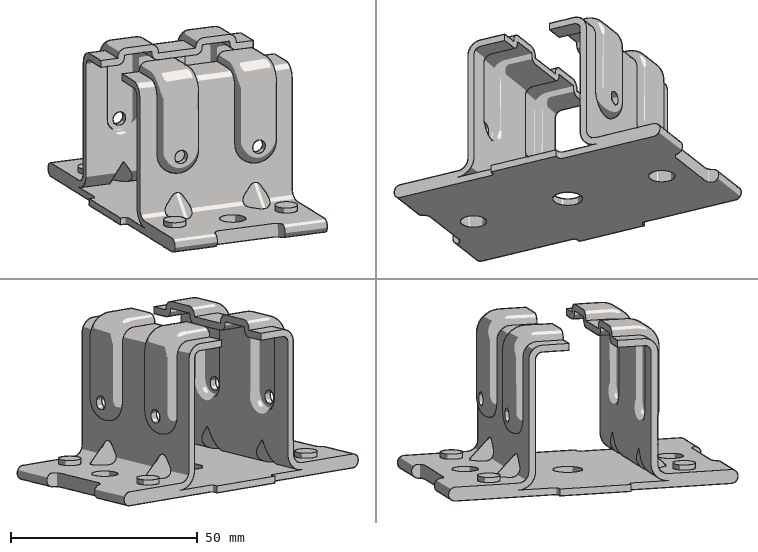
import cadquery as cq
import math

length = 81.5
height = 43.8
plate_width = 45.0
tab_span = 49.0

hem_height = 3.8
sheet = hem_height / 2
lip_end_x = 6.85
rib_height = 2.6
rib_outer_x = 20.8
wall_outer_x = rib_outer_x - rib_height
wall_inner_x = wall_outer_x - sheet
lip_top_z = height - rib_height
lip_bottom_z = lip_top_z - sheet
top_bend_radius = 1.95
foot_bend_radius = 2.9
top_bend_x = wall_inner_x - top_bend_radius
top_bend_z = lip_bottom_z - top_bend_radius
foot_bend_x = wall_outer_x + foot_bend_radius
foot_bend_z = hem_height + foot_bend_radius

tab_length = 20.05
tab_corner_radius = 1.1
notch_width = 20.0
notch_depth = 3.1
notch_corner_radius = 2.0
center_hole_diameter = 8.0
side_hole_diameter = 7.0
side_hole_x = 28.85
pin_diameter = 6.0
pin_height = 1.4
pin_x = 27.5
pin_y = 16.5

rib_y = 11.5
rib_width = 12.0
rib_end_z = 21.2
rib_fillet = 2.4
hollow_clearance = 0.8
rib_hole_diameter = 3.7
rib_hole_z = 20.3

gusset_foot_x = 24.0
gusset_ridge_radius = 2.3
ridge_bar_depth = 8.15
gusset_overlap = 0.3

pick_margin = 0.1


def base_plate():
    """Flat base sheet with a tab on each long side, up to where the folds begin."""
    body = cq.Workplane("XY").box(2 * foot_bend_x, plate_width, sheet, centered=(True, True, False))
    tabs = cq.Workplane("XY").box(tab_length, tab_span, sheet, centered=(True, True, False))
    inner_corners = cq.selectors.BoxSelector(
        (-tab_length / 2 - pick_margin, -plate_width / 2 - pick_margin, 0),
        (tab_length / 2 + pick_margin, plate_width / 2 + pick_margin, sheet),
    )
    return body.union(tabs).edges("|Z").edges(inner_corners).fillet(tab_corner_radius)


def folded_sheet():
    """Foot, wall and lip on the +X side, with the foot folded back over the base."""
    end_center_x = length / 2 - sheet
    profile = (
        cq.Workplane("XZ")
        .moveTo(foot_bend_x, 0)
        .lineTo(end_center_x, 0)
        .threePointArc((length / 2, sheet), (end_center_x, hem_height))
        .lineTo(foot_bend_x, hem_height)
        .radiusArc((wall_outer_x, foot_bend_z), foot_bend_radius)
        .lineTo(wall_outer_x, top_bend_z)
        .radiusArc((top_bend_x, lip_top_z), -(top_bend_radius + sheet))
        .lineTo(lip_end_x, lip_top_z)
        .lineTo(lip_end_x, lip_bottom_z)
        .lineTo(top_bend_x, lip_bottom_z)
        .radiusArc((wall_inner_x, top_bend_z), top_bend_radius)
        .lineTo(wall_inner_x, foot_bend_z)
        .radiusArc((foot_bend_x, sheet), -(foot_bend_radius + sheet))
        .close()
    )
    return profile.extrude(plate_width / 2, both=True)


def rib_bar(y, inner_offset, outer_offset, width, fillet):
    """Round-ended bar along wall and lip; offsets are measured from the inside of the sheet."""
    inner_r = top_bend_radius + inner_offset
    outer_r = top_bend_radius + outer_offset
    bar = (
        cq.Workplane("XZ", origin=(0, y, 0))
        .moveTo(top_bend_x + outer_r, 0)
        .lineTo(top_bend_x + outer_r, top_bend_z)
        .radiusArc((top_bend_x, top_bend_z + outer_r), -outer_r)
        .lineTo(lip_end_x, top_bend_z + outer_r)
        .lineTo(lip_end_x, top_bend_z + inner_r)
        .lineTo(top_bend_x, top_bend_z + inner_r)
        .radiusArc((top_bend_x + inner_r, top_bend_z), inner_r)
        .lineTo(top_bend_x + inner_r, 0)
        .close()
        .extrude(width / 2, both=True)
    )
    slot_top_z = height + width
    slot = (
        cq.Workplane("YZ", origin=(0, y, (rib_end_z + slot_top_z) / 2))
        .slot2D(slot_top_z - rib_end_z + width, width, 90)
        .extrude(length / 2)
    )
    return bar.intersect(slot).faces(">X").edges("|Z").edges(">Y").fillet(fillet)


def add_rib(body, y):
    """Press one rib, with its hollow inside and its hole, into the wall and lip on the +X side."""
    rib = rib_bar(y, sheet / 2, sheet + rib_height, rib_width, rib_fillet)
    hollow_width = rib_width - 2 * sheet
    hollow = rib_bar(y, -hollow_clearance, rib_height, hollow_width, rib_fillet - sheet)
    body = body.union(rib).cut(hollow)

    rim_side = cq.selectors.BoxSelector(
        (wall_inner_x - pick_margin, y, rib_end_z),
        (wall_inner_x + pick_margin, y + hollow_width, top_bend_z),
    )
    body = body.edges(rim_side).fillet(sheet)

    hole = (
        cq.Workplane("YZ", origin=(0, y, rib_hole_z))
        .circle(rib_hole_diameter / 2)
        .extrude(length / 2)
    )
    return body.cut(hole)


def ridge_bar(y, ridge_depth, ridge_radius):
    """Bar along a 45 degree line with square flanks meeting at a round ridge.

    The ridge lies ridge_depth below the outer ridge line of the gusset.
    """
    flank_depth = ridge_radius * (1 - math.sqrt(0.5))
    flank_half_width = ridge_radius * math.sqrt(0.5)
    bar_half_width = flank_half_width + ridge_bar_depth - flank_depth
    section_plane = cq.Plane(
        origin=(gusset_foot_x, y, hem_height),
        xDir=(0, 1, 0),
        normal=(-1, 0, 1),
    )
    return (
        cq.Workplane(section_plane)
        .moveTo(-bar_half_width, ridge_depth + ridge_bar_depth)
        .lineTo(-flank_half_width, ridge_depth + flank_depth)
        .threePointArc((0, ridge_depth), (flank_half_width, ridge_depth + flank_depth))
        .lineTo(bar_half_width, ridge_depth + ridge_bar_depth)
        .close()
        .extrude(2 * ridge_bar_depth, both=True)
    )


def add_gusset(body, y):
    """Press one gusset, hollow on the inside, into the foot bend on the +X side."""
    corner_x = wall_outer_x - gusset_overlap
    corner_z = hem_height - gusset_overlap
    leg = gusset_foot_x - wall_outer_x + 2 * gusset_overlap
    wedge = (
        cq.Workplane("XZ", origin=(0, y, 0))
        .moveTo(corner_x, corner_z)
        .lineTo(corner_x + leg, corner_z)
        .lineTo(corner_x, corner_z + leg)
        .close()
        .extrude(plate_width / 4, both=True)
    )
    gusset = ridge_bar(y, 0, gusset_ridge_radius).intersect(wedge)
    above_base = (
        cq.Workplane("XY", origin=(0, y, sheet))
        .rect(length, plate_width / 2)
        .extrude(height)
    )
    hollow = ridge_bar(y, sheet, gusset_ridge_radius - sheet).intersect(above_base)
    return body.union(gusset).cut(hollow)


def pins():
    """Two pins on the foot on the +X side."""
    return (
        cq.Workplane("XY", origin=(0, 0, hem_height))
        .pushPoints([(pin_x, -pin_y), (pin_x, pin_y)])
        .circle(pin_diameter / 2)
        .extrude(pin_height)
    )


def end_notch():
    """Cutter for the notch in the folded end on the +X side."""
    return (
        cq.Workplane("XY", origin=(length / 2, 0, 0))
        .rect(2 * notch_depth, notch_width)
        .extrude(hem_height)
        .edges("|Z and <X")
        .fillet(notch_corner_radius)
    )


def vertical_hole(x, diameter):
    """Cutter for a round hole through the base on the X axis."""
    return cq.Workplane("XY", origin=(x, 0, 0)).circle(diameter / 2).extrude(hem_height)


side = folded_sheet()
for rib_center_y in (-rib_y, rib_y):
    side = add_rib(side, rib_center_y)
    side = add_gusset(side, rib_center_y)
side = side.union(pins())
side = side.cut(end_notch())
side = side.cut(vertical_hole(side_hole_x, side_hole_diameter))

result = side.union(side.mirror("YZ")).union(base_plate())
result = result.cut(vertical_hole(0, center_hole_diameter))